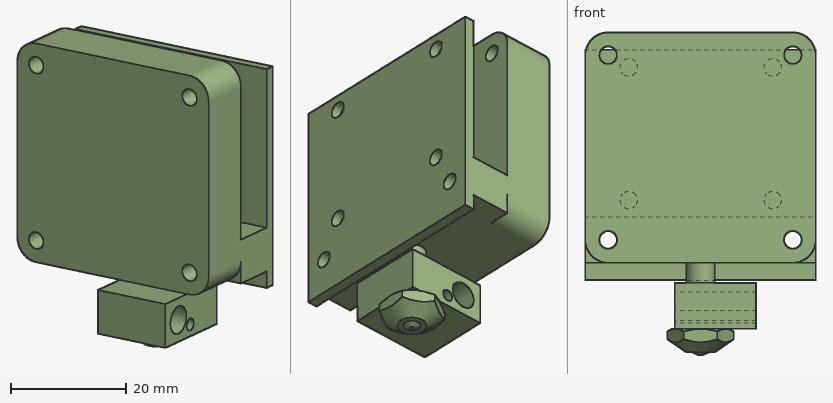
import cadquery as cq
import math

side = 40.0
total_height = 56.0
hole_dia = 3.0

housing_depth = 10.0
corner_radius = 4.0
hole_spacing = side - 2 * corner_radius

plate_thickness = 1.95
plate_drop = 3.0
plate_hole_spacing = 25.0
plate_hole_rise = 23.0
plate_hole_inset = 3.0

block_size = 8.0

pin_dia = 5.0
pin_y = -block_size / 2
clamp_gap = 3.5

clamp_left = -4.5
clamp_width = 14.1
clamp_depth = 2 * block_size
clamp_top = -clamp_gap
clamp_bottom = clamp_top - block_size
rod_hole_dia = 5.0
rod_hole_y = -12.0
rod_hole_z = clamp_top - block_size / 2
lock_hole_dia = 2.1
lock_hole_y = -8.3
lock_hole_z = clamp_top - 5.8

nut_flats = 10.0
nut_corners = nut_flats / math.cos(math.pi / 6)
nut_chamfer = (nut_corners - nut_flats) / 2 * math.tan(math.pi / 6)
nut_bottom = side - total_height
ring_dia = 5.0
tip_base_dia = 3.0
tip_end_dia = 0.8
tip_height = 0.5
cone_height = 1.75
cone_slope = cone_height / (nut_flats / 2 - ring_dia / 2)


def box(x_min, y_min, z_min, width, depth, height):
    """Box placed by its lowest corner."""
    return cq.Workplane("XY").box(width, depth, height, centered=False).translate((x_min, y_min, z_min))


def holes_along_y(points):
    """Round cutters running through the full depth at (x, z) points."""
    depth = plate_thickness + block_size + housing_depth
    return (
        cq.Workplane("XZ", origin=(0, plate_thickness, 0))
        .pushPoints(points)
        .circle(hole_dia / 2)
        .extrude(depth)
    )


def make_frame():
    """Housing, spacer block and plate with their mounting holes."""
    housing = box(-side / 2, -block_size - housing_depth, 0, side, housing_depth, side)
    housing = housing.edges("|Y").fillet(corner_radius)
    spacer = box(-side / 2, -block_size, 0, side, block_size, block_size)
    plate = box(-side / 2, 0, -plate_drop, side, plate_thickness, side)

    x = plate_hole_spacing / 2
    upper_z = side - plate_drop - plate_hole_inset
    lower_z = upper_z - plate_hole_rise
    plate = plate.cut(holes_along_y([(sx * x, z) for sx in (-1, 1) for z in (lower_z, upper_z)]))

    x = hole_spacing / 2
    lower_z = corner_radius
    upper_z = lower_z + hole_spacing
    lower_holes = holes_along_y([(-x, lower_z), (x, lower_z)])
    upper_holes = holes_along_y([(-x, upper_z), (x, upper_z)])
    housing = housing.cut(upper_holes)
    return housing.union(spacer).union(plate).cut(lower_holes)


def make_clamp():
    """Clamp body with a rod hole and a smaller locking hole along X."""
    clamp = box(clamp_left, -clamp_depth, clamp_bottom, clamp_width, clamp_depth, block_size)
    for y, z, diameter in (
        (rod_hole_y, rod_hole_z, rod_hole_dia),
        (lock_hole_y, lock_hole_z, lock_hole_dia),
    ):
        cutter = cq.Workplane("YZ", origin=(clamp_left, y, z)).circle(diameter / 2).extrude(clamp_width)
        clamp = clamp.cut(cutter)
    return clamp


def make_nut():
    """Hexagonal prism trimmed to a chamfered, cone-bottomed turned shape."""
    height = clamp_bottom - nut_bottom
    hexagon = (
        cq.Workplane("XY", origin=(0, 0, nut_bottom)).polygon(6, nut_corners).extrude(height)
    )
    nut_corner_radius = nut_corners / 2
    flat_radius = nut_flats / 2
    cone_rim = nut_bottom + tip_height + cone_slope * (nut_corner_radius - ring_dia / 2)
    turned = (
        cq.Workplane("XZ")
        .moveTo(0, nut_bottom)
        .lineTo(tip_end_dia / 2, nut_bottom)
        .lineTo(tip_base_dia / 2, nut_bottom + tip_height)
        .lineTo(ring_dia / 2, nut_bottom + tip_height)
        .lineTo(nut_corner_radius, cone_rim)
        .lineTo(nut_corner_radius, clamp_bottom - nut_chamfer)
        .lineTo(flat_radius, clamp_bottom)
        .lineTo(0, clamp_bottom)
        .close()
        .revolve(360, (0, 0, 0), (0, 1, 0))
    )
    return hexagon.intersect(turned).translate((0, pin_y, 0))


pin = (
    cq.Workplane("XY", origin=(0, pin_y, clamp_top))
    .circle(pin_dia / 2)
    .extrude(clamp_gap)
)

result = make_frame().union(pin).union(make_clamp()).union(make_nut())